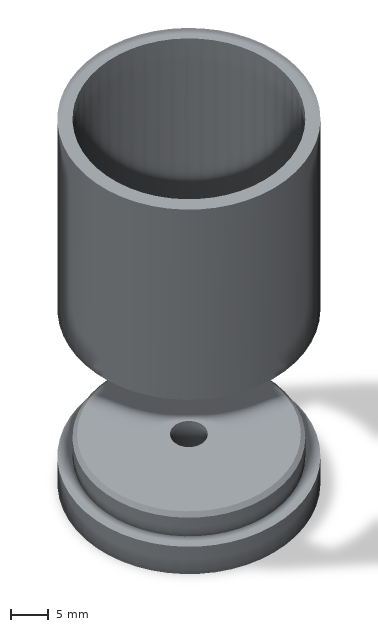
import cadquery as cq

total_height = 67.0
outer_diameter = 35.0
tube_height = 35.0
wall = 2.0
flange_height = 5.0
plug_height = 4.0
plug_chamfer = 0.6
vent_diameter = 5.0

bore_diameter = outer_diameter - 2 * wall
tube_bottom = total_height - tube_height


def make_tube():
    """Open-ended round tube, held above the cap."""
    return (
        cq.Workplane("XY", origin=(0, 0, tube_bottom))
        .circle(outer_diameter / 2)
        .circle(bore_diameter / 2)
        .extrude(tube_height)
    )


def make_cap():
    """Flanged end cap whose chamfered plug fits the tube bore."""
    flange = cq.Workplane("XY").circle(outer_diameter / 2).extrude(flange_height)
    plug = (
        cq.Workplane("XY", origin=(0, 0, flange_height))
        .circle(bore_diameter / 2)
        .extrude(plug_height)
        .faces(">Z")
        .chamfer(plug_chamfer)
    )
    vent = cq.Workplane("XY").circle(vent_diameter / 2).extrude(flange_height + plug_height)
    return flange.union(plug).cut(vent)


tube = make_tube()
cap = make_cap()

result = cq.Compound.makeCompound([tube.val(), *cap.vals()])